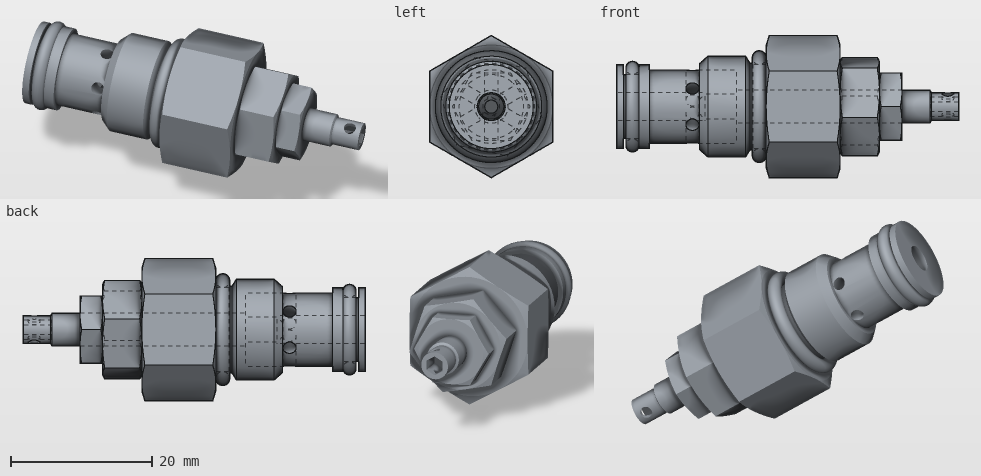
import cadquery as cq
import math

overall_length = 48.48

nose_flange_d = 11.89
nose_flange_end = 0.97
nose_groove_d = 9.09
nose_groove_end = 3.2
nose_land_end = 4.65
cage_d = 10.41
cage_end = 17.0
inlet_bore_d = 3.94
inlet_bore_depth = 12.5
cross_hole_d = 1.85
cross_hole_x = 10.75
cross_hole_count = 6

poppet_d = 3.56
poppet_tip_d = 1.85
poppet_cone_length = (poppet_d - poppet_tip_d) / 2

body_start = 11.72
body_d = 14.29
body_front_d = 12.1
body_front_chamfer = 1.2
body_land_end = 18.28
neck_d = 12.29
neck_start = 18.9
seal_groove_start = 19.3
seal_groove_d = 11.89
hex_start = 21.19
hex_end = 31.66
hex_flats = 17.45

nose_ring_section = 1.88
nose_ring_x = nose_groove_end - nose_ring_section / 2
body_ring_section = 1.98
body_ring_x = hex_start - body_ring_section / 2

adapter_flats = 12.7
adapter_end = 37.22
adapter_turn = -18.0
nut_flats = 9.53
nut_end = 40.41
nut_turn = 30.0
hex_chamfer_angle = 17.5

screw_d = 4.7
screw_shoulder_end = 44.36
screw_shoulder_chamfer = 0.22
screw_tip_d = 3.94
socket_flats = 2.38
socket_depth = 4.0
wire_hole_d = 1.7
wire_hole_x = 46.9
wire_hole_tilt = 16.7


def turned(points):
    """Solid of revolution about X from (x, radius) points along its outer outline."""
    closed = [(points[0][0], 0)] + points + [(points[-1][0], 0)]
    return cq.Workplane("XY").polyline(closed).close().revolve(360, (0, 0), (1, 0))


def rod(start, end, diameter):
    return turned([(start, diameter / 2), (end, diameter / 2)])


def corner_diameter(flats):
    return flats / math.cos(math.pi / 6)


def hex_bar(start, end, flats, turn):
    """Hexagonal bar along X; at zero turn two corners point along +Z and -Z."""
    bar = (
        cq.Workplane("YZ", origin=(start, 0, 0))
        .polygon(6, corner_diameter(flats))
        .extrude(end - start)
    )
    return bar.rotate((0, 0, 0), (1, 0, 0), 90 + turn)


def chamfered_hex(start, end, flats, turn):
    """Hexagonal bar with its corners turned down to the flats at both ends."""
    corner_r = corner_diameter(flats) / 2
    depth = (corner_r - flats / 2) * math.tan(math.radians(hex_chamfer_angle))
    envelope = turned([
        (start, flats / 2),
        (start + depth, corner_r),
        (end - depth, corner_r),
        (end, flats / 2),
    ])
    return hex_bar(start, end, flats, turn).intersect(envelope)


def make_cage():
    cage = turned([
        (0, nose_flange_d / 2),
        (nose_flange_end, nose_flange_d / 2),
        (nose_flange_end, nose_groove_d / 2),
        (nose_groove_end, nose_groove_d / 2),
        (nose_groove_end, nose_flange_d / 2),
        (nose_land_end, nose_flange_d / 2),
        (nose_land_end, cage_d / 2),
        (cage_end, cage_d / 2),
    ])
    cage = cage.cut(rod(0, inlet_bore_depth, inlet_bore_d))
    cage = cage.cut(rod(inlet_bore_depth, cage_end, poppet_d))
    cross_hole = cq.Workplane("XY").center(cross_hole_x, 0).circle(cross_hole_d / 2).extrude(cage_d)
    for index in range(cross_hole_count):
        cage = cage.cut(cross_hole.rotate((0, 0, 0), (1, 0, 0), index * 360 / cross_hole_count))
    return cage


def make_poppet():
    return turned([
        (inlet_bore_depth - poppet_cone_length, poppet_tip_d / 2),
        (inlet_bore_depth, poppet_d / 2),
        (cage_end, poppet_d / 2),
    ])


def make_o_ring(x, inner_d, section_d):
    centre_r = (inner_d + section_d) / 2
    section = cq.Workplane("XY").center(x, centre_r).circle(section_d / 2)
    return section.revolve(360, (0, -centre_r), (1, -centre_r))


def make_body():
    barrel = turned([
        (body_start, body_front_d / 2),
        (body_start + body_front_chamfer, body_d / 2),
        (body_land_end, body_d / 2),
        (neck_start, neck_d / 2),
        (seal_groove_start, neck_d / 2),
        (seal_groove_start, seal_groove_d / 2),
        (hex_start, seal_groove_d / 2),
    ])
    body = barrel.union(chamfered_hex(hex_start, hex_end, hex_flats, 0))
    body = body.cut(rod(body_start, cage_end, cage_d))
    return body.cut(rod(cage_end, hex_end, screw_d))


def make_hex_collar(start, end, flats, turn):
    return chamfered_hex(start, end, flats, turn).cut(rod(start, end, screw_d))


def make_screw():
    screw = turned([
        (cage_end, screw_d / 2),
        (screw_shoulder_end, screw_d / 2),
        (screw_shoulder_end + screw_shoulder_chamfer, screw_tip_d / 2),
        (overall_length, screw_tip_d / 2),
    ])
    screw = screw.cut(hex_bar(overall_length - socket_depth, overall_length, socket_flats, 0))
    wire_hole = (
        cq.Workplane("XY")
        .center(wire_hole_x, 0)
        .circle(wire_hole_d / 2)
        .extrude(screw_tip_d, both=True)
        .rotate((0, 0, 0), (1, 0, 0), wire_hole_tilt)
    )
    return screw.cut(wire_hole)


cage = make_cage()
poppet = make_poppet()
nose_ring = make_o_ring(nose_ring_x, nose_groove_d, nose_ring_section)
body_ring = make_o_ring(body_ring_x, seal_groove_d, body_ring_section)
body = make_body()
adapter = make_hex_collar(hex_end, adapter_end, adapter_flats, adapter_turn)
lock_nut = make_hex_collar(adapter_end, nut_end, nut_flats, nut_turn)
screw = make_screw()

result = cq.Compound.makeCompound([
    cage.val(),
    poppet.val(),
    nose_ring.val(),
    body_ring.val(),
    body.val(),
    adapter.val(),
    lock_nut.val(),
    screw.val(),
])